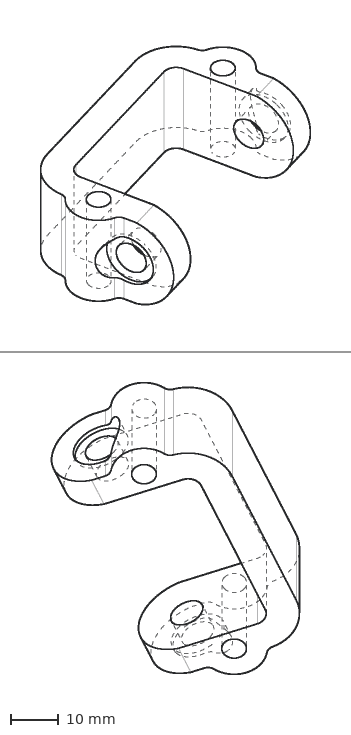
import cadquery as cq

length = 37.0
width = 65.0
height = 22.0
wall = 7.0

inner_bend = 3.0
outer_bend = inner_bend + wall

boss_radius = 7.0
boss_x = 17.0
boss_y = width / 2 - boss_radius
boss_hole_diameter = 5.2
boss_blend = 2.0
arm_outer_y = 28.1
arm_inner_y = arm_outer_y - wall

end_radius = 11.2
end_center_x = length - end_radius
end_arc_start_x = end_center_x + (end_radius**2 - (height / 2) ** 2) ** 0.5
pivot_x = 26.0
pivot_diameter = 7.35
counterbore_diameter = 12.0
counterbore_depth = 1.0


def opening():
    """Space between the arms, open towards +X."""
    return (
        cq.Workplane("XY")
        .box(length, 2 * arm_inner_y, height, centered=(False, True, True))
        .edges("|Z and <X")
        .fillet(inner_bend)
        .translate((wall, 0, 0))
    )


def outer_block():
    """Block with rounded back corners, centred on Y and Z."""
    return (
        cq.Workplane("XY")
        .box(length, 2 * arm_outer_y, height, centered=(False, True, True))
        .edges("|Z and <X")
        .fillet(outer_bend)
    )


def add_bosses(body):
    """Add both bosses and blend them into the arms."""
    for side in (-1, 1):
        boss = (
            cq.Workplane("XY", origin=(boss_x, side * boss_y, -height / 2))
            .circle(boss_radius)
            .extrude(height)
        )
        body = body.union(boss)
    reach = (boss_radius**2 - (arm_outer_y - boss_y) ** 2) ** 0.5
    margin = 0.3
    for side in (-1, 1):
        for end in (-1, 1):
            corner_x = boss_x + end * reach
            corner_y = side * arm_outer_y
            corner = cq.selectors.BoxSelector(
                (corner_x - margin, corner_y - margin, -height),
                (corner_x + margin, corner_y + margin, height),
            )
            body = body.edges("|Z").edges(corner).fillet(boss_blend)
    return body


def round_arm_ends(body):
    """Trim the free ends of the arms to arcs slightly wider than the bracket is tall."""
    side_profile = (
        cq.Workplane("XZ", origin=(0, width / 2, 0))
        .moveTo(0, -height / 2)
        .lineTo(end_arc_start_x, -height / 2)
        .threePointArc((length, 0), (end_arc_start_x, height / 2))
        .lineTo(0, height / 2)
        .close()
        .extrude(width)
    )
    return body.intersect(side_profile)


def drill_holes(body):
    """Drill the boss holes, the pivot bore and its outside counterbores."""
    for side in (-1, 1):
        boss_hole = (
            cq.Workplane("XY", origin=(boss_x, side * boss_y, -height / 2))
            .circle(boss_hole_diameter / 2)
            .extrude(height)
        )
        counterbore = (
            cq.Workplane("XZ", origin=(pivot_x, side * (arm_outer_y - counterbore_depth), 0))
            .circle(counterbore_diameter / 2)
            .extrude(-side * width / 2)
        )
        body = body.cut(boss_hole).cut(counterbore)
    pivot_bore = (
        cq.Workplane("XZ", origin=(pivot_x, width / 2, 0))
        .circle(pivot_diameter / 2)
        .extrude(width)
    )
    return body.cut(pivot_bore)


bracket = add_bosses(outer_block()).cut(opening())
bracket = round_arm_ends(bracket)
result = drill_holes(bracket)